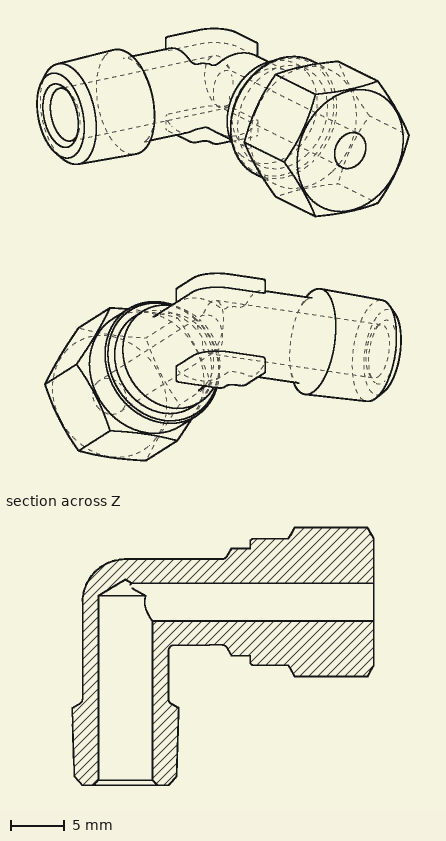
import cadquery as cq
import math


pipe_radius = 4.0
inner_corner_fillet = 0.5

shoulder_start = 9.0
shoulder_slope = math.radians(60)
shoulder_fillet = 0.48

collar_radius = 5.0
collar_end = 11.58
nut_end = 23.07
nut_skirt_radius = 5.9
nut_skirt_chamfer = 0.2
hex_start = 15.1
hex_across_flats = 12.0
hex_chamfer_angle = math.radians(30)

leg_length = 17.01
thread_start_radius = 4.95
thread_taper = 1 / 32
thread_end_chamfer = 0.85

leg_bore_radius = 2.5
leg_bore_overrun = 0.6
leg_bore_chamfer = 0.5
drill_tip_half_angle = math.radians(59)
run_bore_radius = 1.75

pad_height = 4.5
pad_round = 2.52
pad_long_side = 3.92
pad_notch = 2.45
pad_corner_fillet = 0.5
pad_edge_fillet = 0.1

hex_across_corners = hex_across_flats / math.cos(math.radians(30))


def shoulder(profile, end_radius):
    """Extend an (axial, radius) outline from the pipe up a filleted cone; return it with the cone's end."""

    def fillet_point(angle):
        axial = shoulder_start + shoulder_fillet * math.sin(angle)
        return axial, pipe_radius + shoulder_fillet * (1 - math.cos(angle))

    cone_start, cone_start_radius = fillet_point(shoulder_slope)
    cone_end = cone_start + (end_radius - cone_start_radius) / math.tan(shoulder_slope)
    profile = (
        profile.lineTo(shoulder_start, pipe_radius)
        .threePointArc(fillet_point(shoulder_slope / 2), (cone_start, cone_start_radius))
        .lineTo(cone_end, end_radius)
    )
    return profile, cone_end


def revolve_about_x(profile):
    return profile.close().revolve(360, (0, 0, 0), (1, 0, 0))


def pipe_outline():
    return cq.Workplane("XY").lineTo(0, pipe_radius)


def along_leg(solid):
    """Turn a solid built along +X so that it runs along -Y."""
    return solid.rotate((0, 0, 0), (0, 0, 1), -90)


def make_run():
    profile, _ = shoulder(pipe_outline(), collar_radius)
    profile = (
        profile.lineTo(collar_end, collar_radius)
        .lineTo(collar_end, nut_skirt_radius - nut_skirt_chamfer)
        .lineTo(collar_end + nut_skirt_chamfer, nut_skirt_radius)
        .lineTo(hex_start, nut_skirt_radius)
        .lineTo(hex_start, 0)
    )
    return revolve_about_x(profile)


def make_hex():
    """Hexagon with corners on +-Y, both ends turned down to the skirt radius."""
    prism = (
        cq.Workplane("YZ", origin=(hex_start, 0, 0))
        .polygon(6, hex_across_corners)
        .extrude(nut_end - hex_start)
    )
    turned_radius = hex_across_corners / 2
    chamfer_length = (turned_radius - nut_skirt_radius) * math.tan(hex_chamfer_angle)
    turned = revolve_about_x(
        cq.Workplane("XY")
        .moveTo(hex_start, 0)
        .lineTo(hex_start, nut_skirt_radius)
        .lineTo(hex_start + chamfer_length, turned_radius)
        .lineTo(nut_end - chamfer_length, turned_radius)
        .lineTo(nut_end, nut_skirt_radius)
        .lineTo(nut_end, 0)
    )
    return prism.intersect(turned)


def make_leg():
    profile, thread_start = shoulder(pipe_outline(), thread_start_radius)
    thread_end = leg_length - thread_end_chamfer
    thread_end_radius = thread_start_radius - (thread_end - thread_start) * thread_taper
    profile = (
        profile.lineTo(thread_end, thread_end_radius)
        .lineTo(leg_length, pipe_radius)
        .lineTo(leg_length, 0)
    )
    return along_leg(revolve_about_x(profile))


def make_pads():
    """One L-notched block through the elbow whose two ends form the pads."""
    outer_corner = "<(1, -1, 0)"
    block = (
        cq.Workplane("XY", origin=(0, 0, -pad_height))
        .moveTo(-pad_round, pad_round)
        .lineTo(pad_long_side, pad_round)
        .lineTo(pad_long_side, -pad_notch)
        .lineTo(pad_notch, -pad_notch)
        .lineTo(pad_notch, -pad_long_side)
        .lineTo(-pad_round, -pad_long_side)
        .close()
        .extrude(2 * pad_height)
    )
    block = block.edges(f"|Z exc {outer_corner}").fillet(pad_corner_fillet)
    block = block.edges(outer_corner).fillet(pad_round)
    return block.faces("|Z").edges().fillet(pad_edge_fillet)


def make_bores():
    tip_length = leg_bore_radius / math.tan(drill_tip_half_angle)
    leg_bore = along_leg(
        revolve_about_x(
            cq.Workplane("XY")
            .moveTo(leg_length, 0)
            .lineTo(leg_length, leg_bore_radius + leg_bore_chamfer)
            .lineTo(leg_length - leg_bore_chamfer, leg_bore_radius)
            .lineTo(-leg_bore_overrun, leg_bore_radius)
            .lineTo(-leg_bore_overrun - tip_length, 0)
        )
    )
    run_bore = cq.Workplane("YZ").circle(run_bore_radius).extrude(nut_end)
    return leg_bore.union(run_bore)


def make_inner_corner():
    """Part of the crossing pipes between the pads, with the crease inside the bend filleted."""
    half_thickness = math.sqrt(pipe_radius**2 - pad_notch**2)
    run_pipe = cq.Workplane("YZ").circle(pipe_radius).extrude(shoulder_start)
    leg_pipe = cq.Workplane("XZ").circle(pipe_radius).extrude(shoulder_start)
    slab = cq.Workplane("XY").box(3 * shoulder_start, 3 * shoulder_start, 2 * half_thickness)
    crease = cq.selectors.BoxSelector(
        (pad_notch, -pad_notch, -half_thickness), (pipe_radius, -pipe_radius, half_thickness)
    )
    return run_pipe.union(leg_pipe).intersect(slab).edges(crease).fillet(inner_corner_fillet)


elbow = make_run().union(make_leg()).union(cq.Workplane("XY").sphere(pipe_radius))
elbow = elbow.union(make_inner_corner()).union(make_pads())
result = elbow.union(make_hex()).cut(make_bores())